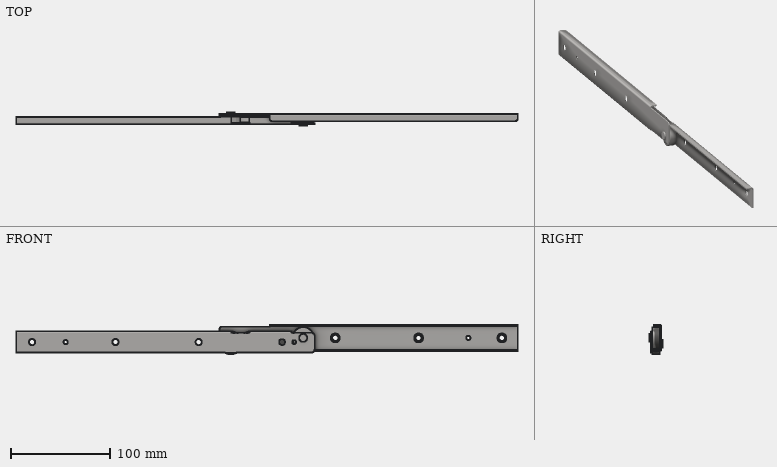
import cadquery as cq


SLIDE_LENGTH = 505.0
RAIL_LENGTH = 300.5
WEB_FACE_Y = 5.3
SLIDE_HEIGHT = 30.0
SLIDE_TOP = SLIDE_HEIGHT / 2

SHEET = 1.25
BEND_RADIUS = 1.75
FLANGE_WIDTH = 7.5
CORNER_RADIUS = 3.0

DRAWER_TOP = 8.5
DRAWER_BOTTOM = -13.0
DRAWER_FLANGE_LENGTH = 277.0
DRAWER_HOLE_Z = -2.5

CABINET_TOP = SLIDE_TOP
CABINET_BOTTOM = -11.5
CABINET_TONGUE = 50.5
CABINET_MID_Z = (CABINET_TOP + CABINET_BOTTOM) / 2

STOP_START = 216.5
STOP_END = 235.0
STOP_BEND_X = 221.0
STOP_BEND_DEPTH = 1.5
STOP_LOW_X = 225.5
STOP_DEPTH = 4.0

SCREW_DIAMETER = 6.0
SCREW_FROM_END = 16.0
SCREW_PITCH = 84.0
DRAWER_SCREWS = 4
CABINET_SCREWS = 3
PEG_DIAMETER = 4.0
PEG_FROM_END = 50.0
DRAWER_SECOND_PEG = 280.0
COUNTERSINK_DIAMETER = 9.0
COUNTERSINK_ANGLE = 100.0

ROLLER_RADIUS = 10.85
ROLLER_FROM_END = 11.5
ROLLER_FACE_Y = 3.8
ROLLER_EDGE_RADIUS = 0.75
RIVET_SHANK_RADIUS = 2.5
RIVET_HEAD_RADIUS = 4.0
RIVET_HEAD_THICKNESS = 1.5
DRAWER_ROLLER_X = RAIL_LENGTH - ROLLER_FROM_END
DRAWER_ROLLER_Z = CABINET_MID_Z
CABINET_ROLLER_X = SLIDE_LENGTH - DRAWER_ROLLER_X
CABINET_ROLLER_Z = ROLLER_RADIUS - SLIDE_TOP


def block(x_range, y_range, z_range):
    """A box between two limits along each axis."""
    (x0, x1), (y0, y1), (z0, z1) = x_range, y_range, z_range
    return cq.Workplane("XY").box(x1 - x0, y1 - y0, z1 - z0, centered=False).translate((x0, y0, z0))


def bore(x, z, radius):
    """A cutter along Y that passes through both webs."""
    length = 4 * WEB_FACE_Y
    return cq.Workplane("XZ", origin=(x, length / 2, z)).circle(radius).extrude(length)


def build_drawer_rail():
    web_y = -WEB_FACE_Y
    web_top = DRAWER_TOP - BEND_RADIUS
    inner_y = web_y + SHEET
    flange_tip_y = web_y + FLANGE_WIDTH

    web = block((0, RAIL_LENGTH), (web_y, inner_y), (DRAWER_BOTTOM, web_top))
    web = web.edges("|Y and >X").fillet(CORNER_RADIUS)

    inner_radius = BEND_RADIUS - SHEET
    profile = (
        cq.Workplane("YZ")
        .moveTo(web_y, web_top)
        .radiusArc((web_y + BEND_RADIUS, DRAWER_TOP), BEND_RADIUS)
        .lineTo(flange_tip_y, DRAWER_TOP)
        .lineTo(flange_tip_y, DRAWER_TOP - SHEET)
        .lineTo(web_y + BEND_RADIUS, DRAWER_TOP - SHEET)
        .radiusArc((inner_y, web_top), -inner_radius)
        .close()
    )
    rail = web.union(profile.extrude(DRAWER_FLANGE_LENGTH))

    strip_y = web_y + BEND_RADIUS
    rail = rail.cut(block((STOP_START, STOP_END), (web_y, flange_tip_y), (web_top, DRAWER_TOP)))
    stop_line = [
        (STOP_START, DRAWER_TOP),
        (STOP_BEND_X, DRAWER_TOP - STOP_BEND_DEPTH),
        (STOP_LOW_X, DRAWER_TOP - STOP_DEPTH),
        (STOP_END, DRAWER_TOP),
    ]
    underside = [(x, z - SHEET) for x, z in reversed(stop_line)]
    stop = (
        cq.Workplane("XZ", origin=(0, flange_tip_y, 0))
        .polyline(stop_line + underside)
        .close()
        .extrude(flange_tip_y - strip_y)
    )
    rail = rail.union(stop)

    for i in range(DRAWER_SCREWS):
        rail = rail.cut(bore(SCREW_FROM_END + i * SCREW_PITCH, DRAWER_HOLE_Z, SCREW_DIAMETER / 2))
    for x in (PEG_FROM_END, DRAWER_SECOND_PEG):
        rail = rail.cut(bore(x, DRAWER_HOLE_Z, PEG_DIAMETER / 2))
    return rail.cut(bore(DRAWER_ROLLER_X, DRAWER_ROLLER_Z, RIVET_SHANK_RADIUS))


def build_cabinet_rail():
    web_y = WEB_FACE_Y
    inner_y = web_y - SHEET
    flange_tip_y = web_y - FLANGE_WIDTH
    tongue_start = SLIDE_LENGTH - RAIL_LENGTH
    channel_start = tongue_start + CABINET_TONGUE

    channel = block((channel_start, SLIDE_LENGTH), (flange_tip_y, web_y), (CABINET_BOTTOM, CABINET_TOP))
    channel = channel.edges("|X and >Y").fillet(BEND_RADIUS)
    channel = channel.edges("|Z and <Y").fillet(CORNER_RADIUS)
    hollow = block(
        (channel_start, SLIDE_LENGTH),
        (flange_tip_y, inner_y),
        (CABINET_BOTTOM + SHEET, CABINET_TOP - SHEET),
    )
    hollow = hollow.edges("|X and >Y").fillet(BEND_RADIUS - SHEET)
    channel = channel.cut(hollow)

    tongue = block(
        (tongue_start, channel_start),
        (inner_y, web_y),
        (CABINET_BOTTOM + BEND_RADIUS, CABINET_TOP - BEND_RADIUS),
    )
    tongue = tongue.edges("|Y and <X").fillet(CORNER_RADIUS)
    rail = channel.union(tongue)

    first_screw_x = SLIDE_LENGTH - SCREW_FROM_END
    screw_points = [(first_screw_x - i * SCREW_PITCH, CABINET_MID_Z) for i in range(CABINET_SCREWS)]
    rail = (
        rail.copyWorkplane(cq.Workplane("XZ", origin=(0, inner_y, 0)))
        .pushPoints(screw_points)
        .cskHole(SCREW_DIAMETER, COUNTERSINK_DIAMETER, COUNTERSINK_ANGLE, depth=2 * SHEET)
    )
    rail = rail.cut(bore(SLIDE_LENGTH - PEG_FROM_END, CABINET_MID_Z, PEG_DIAMETER / 2))
    return rail.cut(bore(CABINET_ROLLER_X, CABINET_ROLLER_Z, RIVET_SHANK_RADIUS))


def build_roller(x, z, side):
    """Roller with its rivet; side is the sign of Y of the web it is riveted to."""

    def disc(radius, start, end):
        y0, y1 = sorted((side * start, side * end))
        return cq.Workplane("XZ", origin=(x, y1, z)).circle(radius).extrude(y1 - y0)

    wheel = disc(ROLLER_RADIUS, -ROLLER_FACE_Y, ROLLER_FACE_Y).edges().fillet(ROLLER_EDGE_RADIUS)
    shank = disc(RIVET_SHANK_RADIUS, ROLLER_FACE_Y, WEB_FACE_Y)
    head = disc(RIVET_HEAD_RADIUS, WEB_FACE_Y, WEB_FACE_Y + RIVET_HEAD_THICKNESS)
    return wheel.union(shank).union(head)


drawer_rail = build_drawer_rail()
cabinet_rail = build_cabinet_rail()
rollers = [
    build_roller(x, z, side)
    for x, z, side in (
        (DRAWER_ROLLER_X, DRAWER_ROLLER_Z, -1),
        (CABINET_ROLLER_X, CABINET_ROLLER_Z, 1),
    )
]

result = cq.Compound.makeCompound([
    drawer_rail.val(),
    cabinet_rail.val(),
    *[roller.val() for roller in rollers],
])